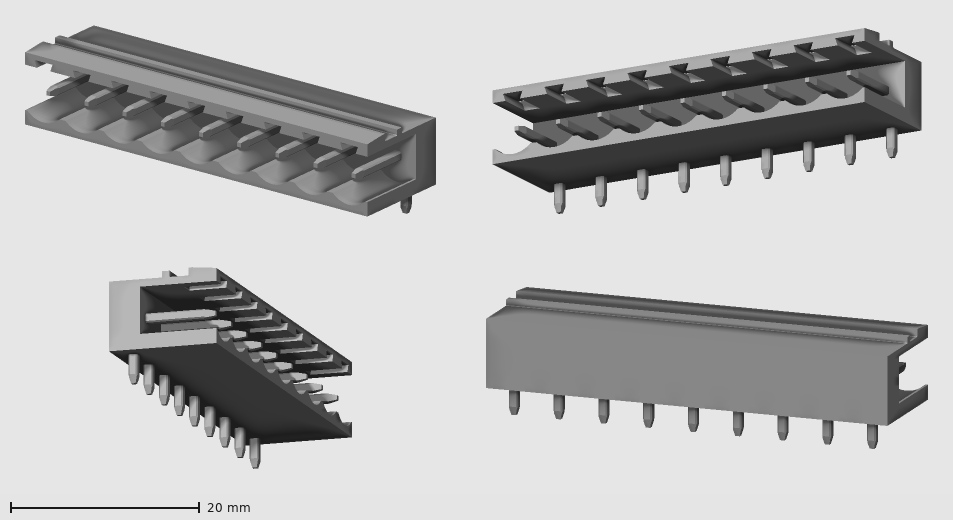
import cadquery as cq

LENGTH = 45.5
DEPTH = 12.0
PLATE_TOP = 7.6
PLATE_THICKNESS = 0.8
FLOOR_TOP = 1.65
CAVITY_DEPTH = 8.55

LIP_HEIGHT = 0.85
LIP_DEPTH = 3.15
LIP_FLAT = 0.4
LIP_DROP = 0.27

RIDGE_HEIGHT = 0.7
RIDGE_BACK = 6.05
RIDGE_WIDTH = 0.8

FOOT_BEVEL = 0.07

POLES = 9
PITCH = 5.08
POLE_X = [(i - (POLES - 1) / 2) * PITCH for i in range(POLES)]

TROUGH_WIDTH = 4.32
TROUGH_DEPTH = 0.85

SLOT_TOP_WIDTH = 2.35
SLOT_BOTTOM_WIDTH = 1.78
SLOT_DEPTH = 4.15

PIN_SIZE = 1.0
PIN_BEVEL = 0.16
TIP_SIZE = 0.5
CONTACT_Z = 3.82
CONTACT_TIP_Y = 0.8
CONTACT_TAPER = 1.27
TAIL_SETBACK = 2.0
TAIL_Y = DEPTH - TAIL_SETBACK
TAIL_LENGTH = 3.15
TAIL_TAPER = 0.95


def profile_body():
    """Side profile of the housing, extruded along X."""
    lip_top = PLATE_TOP + LIP_HEIGHT
    plate_bottom = PLATE_TOP - PLATE_THICKNESS
    ridge_front = RIDGE_BACK - RIDGE_WIDTH
    ridge_top = PLATE_TOP + RIDGE_HEIGHT
    outline = [
        (0, 0),
        (DEPTH, 0),
        (DEPTH, PLATE_TOP),
        (RIDGE_BACK + FOOT_BEVEL, PLATE_TOP),
        (RIDGE_BACK, PLATE_TOP + FOOT_BEVEL),
        (RIDGE_BACK, ridge_top),
        (ridge_front, ridge_top),
        (ridge_front, PLATE_TOP + FOOT_BEVEL),
        (ridge_front - FOOT_BEVEL, PLATE_TOP),
        (LIP_DEPTH + FOOT_BEVEL, PLATE_TOP),
        (LIP_DEPTH, PLATE_TOP + FOOT_BEVEL),
        (LIP_DEPTH, lip_top),
        (LIP_DEPTH - LIP_FLAT, lip_top),
        (0, lip_top - LIP_DROP),
        (0, plate_bottom),
        (CAVITY_DEPTH, plate_bottom),
        (CAVITY_DEPTH, FLOOR_TOP),
        (0, FLOOR_TOP),
    ]
    return cq.Workplane("YZ").polyline(outline).close().extrude(LENGTH / 2, both=True)


def trough(x):
    """Cutter for the round trough below the contact at x."""
    return (
        cq.Workplane("XZ")
        .moveTo(x - TROUGH_WIDTH / 2, FLOOR_TOP)
        .threePointArc((x, FLOOR_TOP - TROUGH_DEPTH), (x + TROUGH_WIDTH / 2, FLOOR_TOP))
        .close()
        .extrude(-CAVITY_DEPTH)
    )


def dovetail_slot(x):
    """Cutter for the dovetail slot above the contact at x, open at the front."""
    plate_bottom = PLATE_TOP - PLATE_THICKNESS
    outline = [
        (x - SLOT_TOP_WIDTH / 2, PLATE_TOP),
        (x + SLOT_TOP_WIDTH / 2, PLATE_TOP),
        (x + SLOT_BOTTOM_WIDTH / 2, plate_bottom),
        (x - SLOT_BOTTOM_WIDTH / 2, plate_bottom),
    ]
    return cq.Workplane("XZ").polyline(outline).close().extrude(-SLOT_DEPTH)


def leg(start, direction, length, taper):
    """Bevelled square bar whose end narrows on all four flats to a square tip."""
    plane = cq.Plane(start, (1, 0, 0), direction)
    straight = length - taper
    section = cq.Sketch().rect(PIN_SIZE, PIN_SIZE).vertices().chamfer(PIN_BEVEL)
    bevelled_bar = cq.Workplane(plane).placeSketch(section).extrude(length)
    pointed_bar = (
        cq.Workplane(plane)
        .rect(PIN_SIZE, PIN_SIZE)
        .extrude(straight)
        .faces(cq.selectors.DirectionMinMaxSelector(cq.Vector(direction)))
        .workplane()
        .rect(PIN_SIZE, PIN_SIZE)
        .workplane(offset=taper)
        .rect(TIP_SIZE, TIP_SIZE)
        .loft()
    )
    return bevelled_bar.intersect(pointed_bar)


def bent_pin(x):
    """Contact leg pointing forward and tail leg pointing down, joined at a square bend."""
    bend_back = TAIL_Y + PIN_SIZE / 2
    bend_top = CONTACT_Z + PIN_SIZE / 2
    contact = leg(
        (x, bend_back, CONTACT_Z), (0, -1, 0), bend_back - CONTACT_TIP_Y, CONTACT_TAPER
    )
    tail = leg((x, TAIL_Y, bend_top), (0, 0, -1), bend_top + TAIL_LENGTH, TAIL_TAPER)
    return contact.union(tail)


pins = [bent_pin(x) for x in POLE_X]

housing = profile_body()
for x in POLE_X:
    housing = housing.cut(trough(x)).cut(dovetail_slot(x))
for pin in pins:
    housing = housing.cut(pin)

result = cq.Compound.makeCompound([housing.val(), *[pin.val() for pin in pins]])